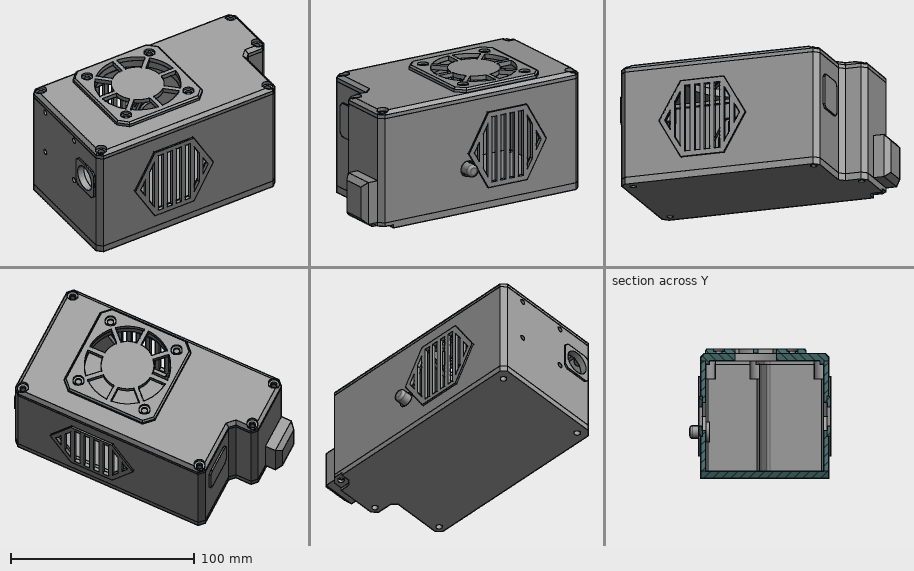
import cadquery as cq
import math


WIDTH = 70.0
DEPTH = 130.0
REAR_STEP_X = 35.0
REAR_STEP_Y = 115.1
CORNER_CUT = 3.0
WALL = 3.0

BASE_TOP = 3.9
LID_BOTTOM = 64.0
LID_TOP = 68.0
LID_CHAMFER = 2.0
LIP_DEPTH = 2.0
LIP_WIDTH = 2.0

SCREW_INSET = 4.0
SCREW_POINTS = [
    (SCREW_INSET, SCREW_INSET),
    (WIDTH - SCREW_INSET, SCREW_INSET),
    (WIDTH - SCREW_INSET, REAR_STEP_Y - SCREW_INSET),
    (REAR_STEP_X - SCREW_INSET, DEPTH - SCREW_INSET),
    (SCREW_INSET, DEPTH - SCREW_INSET),
]
SCREW_HEAD_D = 6.0
SCREW_HEAD_DEPTH = 2.0
SCREW_CLEARANCE_D = 3.5
SCREW_PILOT_D = 2.8
POST_D = 2 * SCREW_INSET
POST_LENGTH = 10.0
FRONT_BASE_HOLE_INSET = 5.7
BASE_RECESS_D = 8.8
BASE_RECESS_DEPTH = 1.8

FAN_X = 30.1
FAN_Y = 50.0
FAN_SIDE = 55.0
FAN_TOP = 70.5
FAN_CORNER_CUT = 5.0
FAN_CHAMFER = 1.0
FAN_OPENING_D = 47.0
FAN_HUB_D = 28.8
FAN_RIBS = 8
FAN_RIB_WIDTH = 2.5
FAN_SCREW_PITCH = 40.0
FAN_SCREW_HEAD_DEPTH = 1.3

GRILLE_Y = 48.0
GRILLE_Z = 33.7
GRILLE_RADIUS = 25.0
GRILLE_RIM = 3.0
GRILLE_WINDOW_RADIUS = GRILLE_RADIUS - GRILLE_RIM / math.cos(math.pi / 6)
GRILLE_LEDGE = 2.0
WALL_OPENING_RADIUS = GRILLE_RADIUS - GRILLE_LEDGE
GRILLE_BARS = 7
GRILLE_BAR_PITCH = 5.7
GRILLE_BAR_WIDTH = 2.5
GRILLE_SINK = 1.0
PLATE = 1.0

BUTTON_Y = 73.4
BUTTON_Z = 25.2
BUTTON_D = 7.0
BUTTON_REACH = 5.9
BUTTON_ROUND = 1.5
BUTTON_HOLE_D = 8.8
BUTTON_FLANGE_D = 11.0
BUTTON_FLANGE_LENGTH = 2.0

BEZEL_Z = 44.0
FRONT_BEZEL_X = 57.0
FRONT_BEZEL_SIDE = 18.0
REAR_BEZEL_X = 52.5
REAR_BEZEL_SIDE = 19.3
BEZEL_CORNER_CUT = 2.0
CONNECTOR_D = 14.3
COLLAR_D = 17.0

MOUNT_HOLE_D = 3.0
MOUNT_HOLE_X = (15.0, 44.5)
MOUNT_HOLE_Z = (33.9, 61.0)

BLOCK_LEFT = 3.0
BLOCK_WIDTH = 20.0
BLOCK_HEIGHT = 24.1
BLOCK_LENGTH = 9.0
BLOCK_CHAMFER = 3.0


def outline(z):
    """Plan outline of the enclosure, with a step at the rear right, drawn at height z."""
    return (
        cq.Workplane("XY", origin=(0, 0, z))
        .polyline([
            (0, 0), (WIDTH, 0), (WIDTH, REAR_STEP_Y),
            (REAR_STEP_X, REAR_STEP_Y), (REAR_STEP_X, DEPTH), (0, DEPTH),
        ])
        .close()
    )


def outline_prism(bottom, top):
    """Outline extruded between two heights, with its vertical edges cut at 45 degrees."""
    return outline(bottom).extrude(top - bottom).edges("|Z").chamfer(CORNER_CUT)


def inset_prism(bottom, top, inset):
    """Same prism, with its sides moved inwards by the inset."""
    profile = outline_prism(bottom, top).faces("<Z").wires().val()
    return cq.Workplane("XY").add(profile.offset2D(-inset)).toPending().extrude(top - bottom)


def cylinders(points, diameter, bottom, top):
    """Vertical cylinders at the given points."""
    return (
        cq.Workplane("XY", origin=(0, 0, bottom))
        .pushPoints(points)
        .circle(diameter / 2)
        .extrude(top - bottom)
    )


def cylinder_along_x(y, z, diameter, x_start, x_end):
    return (
        cq.Workplane("YZ", origin=(x_start, y, z)).circle(diameter / 2).extrude(x_end - x_start)
    )


def cylinder_along_y(x, z, diameter, y_start, y_end):
    return (
        cq.Workplane("XZ", origin=(x, y_start, z)).circle(diameter / 2).extrude(y_start - y_end)
    )


def grille_hexagon(radius, x_start, x_end):
    """Hexagonal prism along X at the grille position, with corners towards +Y and -Y."""
    return (
        cq.Workplane("YZ", origin=(x_start, GRILLE_Y, GRILLE_Z))
        .polygon(6, 2 * radius)
        .extrude(x_end - x_start)
    )


def screw_posts():
    """Round posts in the corners of the housing, flush with its walls."""
    bottom = LID_BOTTOM - POST_LENGTH
    posts = cylinders(SCREW_POINTS, POST_D, bottom, LID_BOTTOM)
    return posts.intersect(outline_prism(bottom, LID_BOTTOM))


def rear_block():
    return (
        cq.Workplane("XY", origin=(BLOCK_LEFT, DEPTH, BASE_TOP))
        .box(BLOCK_WIDTH, BLOCK_LENGTH, BLOCK_HEIGHT, centered=False)
        .faces(">Y")
        .chamfer(BLOCK_CHAMFER)
    )


def make_housing():
    housing = outline_prism(BASE_TOP, LID_BOTTOM).cut(inset_prism(BASE_TOP, LID_BOTTOM, WALL))
    housing = housing.union(screw_posts()).union(rear_block())
    housing = housing.cut(cylinders(SCREW_POINTS, SCREW_PILOT_D, LID_BOTTOM - POST_LENGTH, LID_BOTTOM))
    housing = housing.cut(grille_hexagon(GRILLE_RADIUS, 0, GRILLE_SINK))
    housing = housing.cut(grille_hexagon(GRILLE_RADIUS, WIDTH - GRILLE_SINK, WIDTH))
    housing = housing.cut(grille_hexagon(WALL_OPENING_RADIUS, 0, WALL))
    housing = housing.cut(grille_hexagon(WALL_OPENING_RADIUS, WIDTH - WALL, WIDTH))
    housing = housing.cut(cylinder_along_x(BUTTON_Y, BUTTON_Z, BUTTON_HOLE_D, 0, WALL))
    housing = housing.cut(cylinder_along_y(FRONT_BEZEL_X, BEZEL_Z, COLLAR_D, 0, WALL))
    for x in MOUNT_HOLE_X:
        for z in MOUNT_HOLE_Z:
            housing = housing.cut(cylinder_along_y(x, z, MOUNT_HOLE_D, 0, WALL))
    return housing


def lid_lip():
    """Rim that hangs inside the housing walls and is interrupted at the screw posts."""
    bottom = LID_BOTTOM - LIP_DEPTH
    lip = inset_prism(bottom, LID_BOTTOM, WALL).cut(
        inset_prism(bottom, LID_BOTTOM, WALL + LIP_WIDTH)
    )
    return lip.cut(screw_posts())


def make_lid():
    lid = outline_prism(LID_BOTTOM, LID_TOP).faces(">Z").chamfer(LID_CHAMFER)
    lid = lid.cut(cylinders(SCREW_POINTS, SCREW_HEAD_D, LID_TOP - SCREW_HEAD_DEPTH, LID_TOP))
    lid = lid.cut(cylinders(SCREW_POINTS, SCREW_CLEARANCE_D, LID_BOTTOM, LID_TOP))
    lid = lid.cut(cylinders([(FAN_X, FAN_Y)], FAN_OPENING_D, LID_BOTTOM, LID_TOP))
    return lid.union(lid_lip())


def base_recess():
    """Rounded recess under the rear left screw, open to the left and rear sides."""
    x, y = SCREW_POINTS[-1]
    radius = BASE_RECESS_D / 2
    corner_block = (
        cq.Workplane("XY")
        .box(x + radius, DEPTH - y + radius, BASE_RECESS_DEPTH, centered=False)
        .edges("|Z and >X and <Y")
        .fillet(radius)
    )
    return corner_block.translate((0, y - radius, 0))


def make_base():
    base = outline_prism(0, BASE_TOP)
    hole_points = [
        (FRONT_BASE_HOLE_INSET, FRONT_BASE_HOLE_INSET),
        (WIDTH - FRONT_BASE_HOLE_INSET, FRONT_BASE_HOLE_INSET),
        *SCREW_POINTS[2:],
    ]
    base = base.cut(cylinders(hole_points, SCREW_CLEARANCE_D, 0, BASE_TOP))
    return base.cut(base_recess())


def fan_openings(bottom, top):
    """Ring of openings between the hub and the rim, divided by radial ribs."""
    ring = cylinders([(0, 0)], FAN_OPENING_D, bottom, top).cut(
        cylinders([(0, 0)], FAN_HUB_D, bottom, top)
    )
    for i in range(FAN_RIBS // 2):
        rib_pair = (
            cq.Workplane("XY", origin=(0, 0, bottom))
            .transformed(rotate=(0, 0, i * 360 / FAN_RIBS))
            .rect(FAN_OPENING_D, FAN_RIB_WIDTH)
            .extrude(top - bottom)
        )
        ring = ring.cut(rib_pair)
    return ring.translate((FAN_X, FAN_Y, 0))


def make_fan_cover():
    cover = (
        cq.Workplane("XY", origin=(FAN_X, FAN_Y, LID_TOP))
        .rect(FAN_SIDE, FAN_SIDE)
        .extrude(FAN_TOP - LID_TOP)
        .edges("|Z")
        .chamfer(FAN_CORNER_CUT)
        .faces(">Z")
        .chamfer(FAN_CHAMFER)
    )
    cover = cover.cut(fan_openings(LID_TOP, FAN_TOP))
    half_pitch = FAN_SCREW_PITCH / 2
    screw_points = [
        (FAN_X + i * half_pitch, FAN_Y + j * half_pitch) for i in (-1, 1) for j in (-1, 1)
    ]
    head_floor = FAN_TOP - FAN_SCREW_HEAD_DEPTH
    cover = cover.cut(cylinders(screw_points, SCREW_HEAD_D, head_floor, FAN_TOP))
    return cover.cut(cylinders(screw_points, SCREW_CLEARANCE_D, LID_TOP, FAN_TOP))


def make_grille(x_start, x_end):
    """Hexagonal plate with vertical bars across its window."""
    plate = grille_hexagon(GRILLE_RADIUS, x_start, x_end)
    window = grille_hexagon(GRILLE_WINDOW_RADIUS, x_start, x_end)
    bars = (
        cq.Workplane("YZ", origin=(x_start, GRILLE_Y, GRILLE_Z))
        .rarray(GRILLE_BAR_PITCH, 1.4, GRILLE_BARS, 1)
        .rect(GRILLE_BAR_WIDTH, 2 * GRILLE_RADIUS)
        .extrude(x_end - x_start)
    )
    return plate.cut(window.cut(bars))


def make_button():
    button = cylinder_along_x(BUTTON_Y, BUTTON_Z, BUTTON_D, -BUTTON_REACH, WALL)
    button = button.faces("<X").edges().fillet(BUTTON_ROUND)
    flange = cylinder_along_x(
        BUTTON_Y, BUTTON_Z, BUTTON_FLANGE_D, WALL, WALL + BUTTON_FLANGE_LENGTH
    )
    return button.union(flange)


def make_bezel(x, side, y_start, y_end):
    """Square plate with cut corners on the front or rear wall."""
    return (
        cq.Workplane("XZ", origin=(x, y_start, BEZEL_Z))
        .rect(side, side)
        .extrude(y_start - y_end)
        .edges("|Y")
        .chamfer(BEZEL_CORNER_CUT)
    )


housing = make_housing()
lid = make_lid()
base = make_base()
fan_cover = make_fan_cover()
button = make_button()

left_grille = make_grille(-PLATE, GRILLE_SINK)
left_grille = left_grille.cut(cylinder_along_x(BUTTON_Y, BUTTON_Z, BUTTON_HOLE_D, -PLATE, GRILLE_SINK))
right_grille = make_grille(WIDTH - GRILLE_SINK, WIDTH + PLATE)

front_bezel = make_bezel(FRONT_BEZEL_X, FRONT_BEZEL_SIDE, -PLATE, 0)
front_bezel = front_bezel.union(cylinder_along_y(FRONT_BEZEL_X, BEZEL_Z, COLLAR_D, 0, WALL))
front_bezel = front_bezel.cut(
    cylinder_along_y(FRONT_BEZEL_X, BEZEL_Z, CONNECTOR_D, -PLATE, WALL)
)

rear_bezel = make_bezel(REAR_BEZEL_X, REAR_BEZEL_SIDE, REAR_STEP_Y, REAR_STEP_Y + PLATE)

result = cq.Compound.makeCompound([
    housing.val(), lid.val(), base.val(), fan_cover.val(), button.val(),
    left_grille.val(), right_grille.val(), front_bezel.val(), rear_bezel.val(),
])